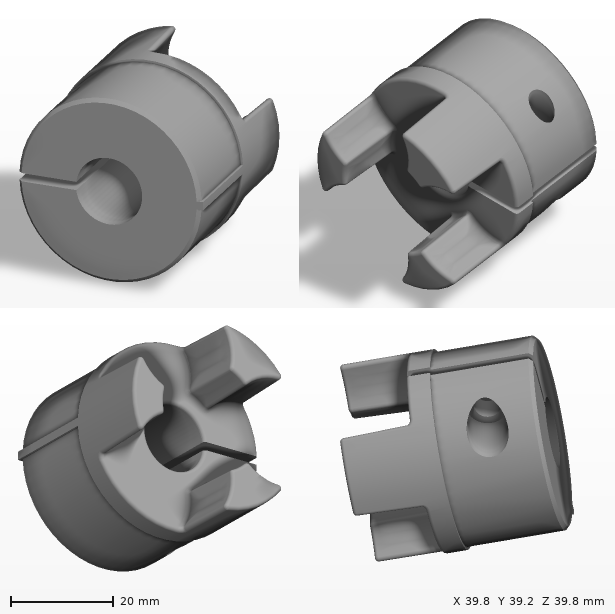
import cadquery as cq
import math

total_length = 39.22
flange_radius = 19.9
body_radius = 19.3
body_length = 20.3
jaw_root_y = 25.05
body_chamfer = 0.75
bore_radius = 7.0

slot_width = 1.75

screw_x = -13.25
screw_y = 10.2
screw_diameter = 5.1
screw_head_diameter = 8.2
screw_seat_z = -5.95

jaw_count = 3
first_pocket_angle = 60.0
pocket_center_radius = 15.15
pocket_tip_radius = 11.25
opening_tip_radius = 11.6
opening_x = 1.0
opening_z = -0.35
jaw_draft_angle = 1.5
edge_round = 0.7

jaw_length = total_length - jaw_root_y
draft_offset = jaw_length * math.tan(math.radians(jaw_draft_angle))
hub_diameter = 2 * flange_radius
y_axis = cq.Vector(0, 1, 0)


def cylinder_along_y(radius, y_start, length):
    return cq.Workplane(cq.Solid.makeCylinder(radius, length, cq.Vector(0, y_start, 0), y_axis))


def edges_near_jaw_root(half_width, y_end):
    """Selector for edges centred within half_width of the axis, from the rim round to y_end."""
    y_start = jaw_root_y - edge_round
    return cq.selectors.BoxSelector((-half_width, y_start, -half_width), (half_width, y_end, half_width))


def drafted_pocket(tip_radius, x, z):
    """Round pocket between the jaws, narrowing from the jaw tips to the jaw roots."""
    root_radius = tip_radius - draft_offset
    root_center = cq.Vector(x, jaw_root_y, z)
    return cq.Workplane(cq.Solid.makeCone(root_radius, tip_radius, jaw_length, root_center, y_axis))


def make_jaw_end():
    """Flange with three jaws; jaw edges, jaw roots and the flange rim between jaws are rounded."""
    end = cylinder_along_y(flange_radius, body_length, total_length - body_length)
    end = end.cut(drafted_pocket(opening_tip_radius, opening_x, opening_z))
    for index in range(jaw_count):
        angle = math.radians(first_pocket_angle + index * 360 / jaw_count)
        x = pocket_center_radius * math.cos(angle)
        z = pocket_center_radius * math.sin(angle)
        end = end.cut(drafted_pocket(pocket_tip_radius, x, z))
    jaw_edges = edges_near_jaw_root(hub_diameter, total_length + edge_round)
    return end.edges(jaw_edges).fillet(edge_round)


def make_body():
    """Chamfered clamp body."""
    body = cylinder_along_y(body_radius, 0, body_length)
    return body.faces("<Y").edges().chamfer(body_chamfer)


def make_rib():
    """Rib on +X that reaches the flange radius along the whole body."""
    blank = cq.Workplane("XY").box(flange_radius, body_length, slot_width, centered=(False, False, True))
    return blank.intersect(cylinder_along_y(flange_radius, 0, body_length))


def cut_bore(hub):
    """Through bore with a rounded mouth between the jaws."""
    hub = hub.cut(cylinder_along_y(bore_radius, 0, total_length))
    mouth_edge = edges_near_jaw_root(bore_radius, jaw_root_y + edge_round)
    return hub.edges(mouth_edge).fillet(edge_round)


def make_clamp_slot():
    """Slot from the bore out through the -X side."""
    slot = cq.Workplane("XY").box(hub_diameter, total_length, slot_width, centered=(False, False, True))
    return slot.translate((-hub_diameter, 0, 0))


def make_screw_hole():
    shank = (
        cq.Workplane("XY", origin=(screw_x, screw_y, -flange_radius))
        .circle(screw_diameter / 2)
        .extrude(hub_diameter)
    )
    head = (
        cq.Workplane("XY", origin=(screw_x, screw_y, screw_seat_z))
        .circle(screw_head_diameter / 2)
        .extrude(-flange_radius)
    )
    return shank.union(head)


hub = make_body().union(make_rib()).union(make_jaw_end())
hub = cut_bore(hub)
hub = hub.cut(make_clamp_slot())
result = hub.cut(make_screw_hole())